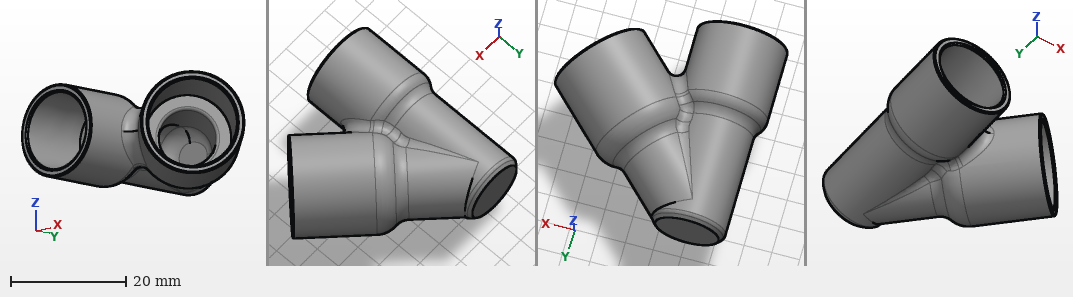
import cadquery as cq

BRANCH_ANGLE = 45

NECK_RADIUS = 6.63
BORE_RADIUS = 5.0
CROTCH_FILLET = 1.7
SEAM_INNER_REACH = 1.87
CROTCH_REACH = 1.87

MAIN_LENGTH = 32.85
MAIN_RADIUS = 8.13
MAIN_FLARE_START = 15.8
MAIN_FLARE_END = 19.7
MAIN_FLARE_TURN = 0.5
MAIN_SOCKET_MOUTH_RADIUS = 6.78
MAIN_SOCKET_END_RADIUS = 6.5
MAIN_SOCKET_DEPTH = 13.5

BRANCH_LENGTH = 32.7
BRANCH_DIAMETER = 18.0
BRANCH_RADIUS = BRANCH_DIAMETER / 2
BRANCH_FLARE_START = 12.45
BRANCH_FLARE_END = 18.1
BRANCH_FLARE_TURN = 0.39
BRANCH_SOCKET_MOUTH_RADIUS = 7.7
BRANCH_SOCKET_END_RADIUS = 7.55
BRANCH_SOCKET_DEPTH = 15.55

RIM_CHAMFER = 0.22
MOUTH_CHAMFER = 0.3
BORE_ENTRY_RADIUS = 0.55

CAP_HEIGHT = 3.75
CAP_FLAT_RADIUS = 5.75
CAP_BLEND_RADIUS = 0.95
FLOOR_HEIGHT = 2.0
FLOOR_FILLET = 2.5
SELECTION_MARGIN = 0.07


def revolve(profile):
    """Turn a closed (radius, -distance) profile about the Y axis."""
    return profile.close().revolve(360, (0, 0, 0), (0, 1, 0))


def swing(body):
    """Turn a body from the main axis onto the branch axis."""
    return body.rotate((0, 0, 0), (0, 0, 1), BRANCH_ANGLE)


def outer_tube(top, radius, length, flare_start, flare_end, turn):
    """Narrow tube that widens through an S-curve of two tangent arcs."""
    run = flare_end - flare_start
    rise = radius - NECK_RADIUS
    radius_sum = (run**2 + rise**2) / (2 * rise)
    turning_point = (NECK_RADIUS + turn * rise, -flare_start - turn * run)
    profile = (
        cq.Workplane("XY")
        .moveTo(0, top)
        .lineTo(NECK_RADIUS, top)
        .lineTo(NECK_RADIUS, -flare_start)
        .radiusArc(turning_point, -turn * radius_sum)
        .radiusArc((radius, -flare_end), (1 - turn) * radius_sum)
        .lineTo(radius, RIM_CHAMFER - length)
        .lineTo(radius - RIM_CHAMFER, -length)
        .lineTo(0, -length)
    )
    return revolve(profile)


def bore(top, length):
    """Plain round passage shared by both tubes."""
    return revolve(
        cq.Workplane("XY")
        .moveTo(0, top)
        .lineTo(BORE_RADIUS, top)
        .lineTo(BORE_RADIUS, -length)
        .lineTo(0, -length)
    )


def socket(mouth_radius, end_radius, depth, length):
    """Slightly tapered socket with a bevelled mouth and a rounded step into the bore."""
    step = depth - length
    entry_radius = BORE_RADIUS + BORE_ENTRY_RADIUS
    profile = (
        cq.Workplane("XY")
        .moveTo(0, step + BORE_ENTRY_RADIUS)
        .lineTo(BORE_RADIUS, step + BORE_ENTRY_RADIUS)
        .radiusArc((entry_radius, step), -BORE_ENTRY_RADIUS)
        .lineTo(end_radius, step)
        .lineTo(mouth_radius, MOUTH_CHAMFER - length)
        .lineTo(mouth_radius + MOUTH_CHAMFER, -length)
        .lineTo(0, -length)
    )
    return revolve(profile)


def below(height):
    """Large block filling the space under y = height."""
    span = 4 * MAIN_LENGTH
    return cq.Workplane("XY").box(span, span, span).translate((0, height - span / 2, 0))


def main_outside():
    """Main tube with its closed end bevelled and the bevel blended into the wall."""
    body = outer_tube(
        CAP_HEIGHT, MAIN_RADIUS, MAIN_LENGTH,
        MAIN_FLARE_START, MAIN_FLARE_END, MAIN_FLARE_TURN,
    )
    bevel = NECK_RADIUS - CAP_FLAT_RADIUS
    body = body.faces(">Y").chamfer(bevel)
    bevel_foot = cq.selectors.BoxSelector(
        (-NECK_RADIUS, CAP_HEIGHT - bevel - SELECTION_MARGIN, -NECK_RADIUS),
        (NECK_RADIUS, CAP_HEIGHT - bevel + SELECTION_MARGIN, NECK_RADIUS),
    )
    return body.edges(bevel_foot).edges("%CIRCLE").fillet(CAP_BLEND_RADIUS)


def branch_outside():
    """Branch tube trimmed level with the closed end."""
    body = outer_tube(
        0, BRANCH_RADIUS, BRANCH_LENGTH,
        BRANCH_FLARE_START, BRANCH_FLARE_END, BRANCH_FLARE_TURN,
    )
    return swing(body).intersect(below(CAP_HEIGHT))


def outer_body():
    """Both tubes joined, with the seam between them filleted from apex to crotch."""
    body = main_outside().union(branch_outside())
    seam = cq.selectors.BoxSelector(
        (SEAM_INNER_REACH, -MAIN_FLARE_END - CROTCH_REACH, -NECK_RADIUS),
        (MAIN_RADIUS, -NECK_RADIUS / 2, NECK_RADIUS),
    )
    return body.edges(seam).fillet(CROTCH_FILLET)


def main_passage():
    """Main bore with a rounded floor."""
    passage = bore(FLOOR_HEIGHT, MAIN_LENGTH - MAIN_SOCKET_DEPTH)
    return passage.faces(">Y").edges().fillet(FLOOR_FILLET)


def branch_passage():
    """Branch bore cut off level with the main floor and rounded into it."""
    passage = swing(bore(2 * BORE_RADIUS, BRANCH_LENGTH - BRANCH_SOCKET_DEPTH))
    span = 4 * BRANCH_LENGTH
    branch_side = cq.Workplane("XY").box(span, span, span).translate((span / 2, 0, 0))
    passage = passage.intersect(branch_side).intersect(below(FLOOR_HEIGHT))
    return passage.faces(">Y").edges("%ELLIPSE").fillet(FLOOR_FILLET)


main_socket = socket(
    MAIN_SOCKET_MOUTH_RADIUS, MAIN_SOCKET_END_RADIUS, MAIN_SOCKET_DEPTH, MAIN_LENGTH
)
branch_socket = swing(
    socket(BRANCH_SOCKET_MOUTH_RADIUS, BRANCH_SOCKET_END_RADIUS, BRANCH_SOCKET_DEPTH, BRANCH_LENGTH)
)

result = (
    outer_body()
    .cut(main_passage())
    .cut(branch_passage())
    .cut(main_socket)
    .cut(branch_socket)
)